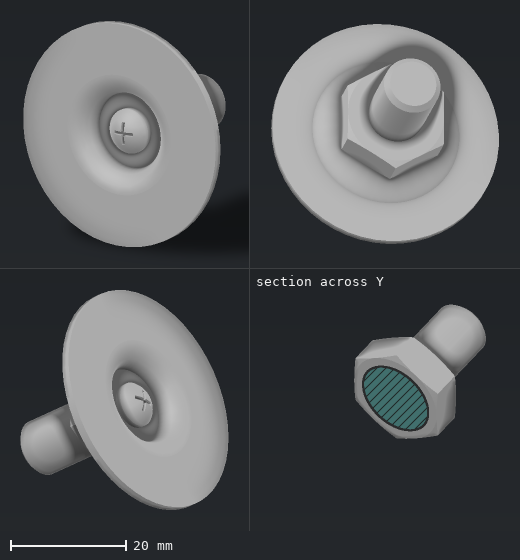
import cadquery as cq
import math

total_length = 27.0

disc_radius = 20
disc_thickness = 1.5
hub_base_radius = 13.0
hub_top_radius = 6.75
hub_top = 4.7

recess_depth = 4
recess_floor_radius = 6.75

nut_across_flats = 17.0
nut_thickness = 6.3
nut_across_corners = nut_across_flats / math.cos(math.pi / 6)
nut_end_radius = nut_across_flats / 2
nut_chamfer_height = 0.4

stud_radius = 5.0
stud_chamfer = 0.9

head_radius = 4
head_side_height = 1.0
dome_height = 2.15
cross_length = 4
cross_width = 0.65
cross_depth = 1.0


def turn(profile):
    """Revolve a closed (radius, Y) profile about the Y axis."""
    return profile.close().revolve(360, (0, 0, 0), (0, 1, 0))


def make_base():
    mouth_radius = recess_floor_radius + recess_depth
    arc_inset = recess_depth * math.sin(math.pi / 4)
    return turn(
        cq.Workplane("XY")
        .moveTo(0, recess_depth)
        .lineTo(recess_floor_radius, recess_depth)
        .threePointArc((mouth_radius - arc_inset, recess_depth - arc_inset), (mouth_radius, 0))
        .lineTo(disc_radius, 0)
        .lineTo(disc_radius, disc_thickness)
        .lineTo(hub_base_radius, disc_thickness)
        .lineTo(hub_top_radius, hub_top)
        .lineTo(0, hub_top)
    )


def make_nut():
    corner_radius = nut_across_corners / 2
    nut_top = hub_top + nut_thickness
    hexagon = (
        cq.Workplane("XZ", origin=(0, hub_top, 0))
        .transformed(rotate=(0, 0, 90))
        .polygon(6, nut_across_corners)
        .extrude(-nut_thickness)
    )
    envelope = turn(
        cq.Workplane("XY")
        .moveTo(0, hub_top)
        .lineTo(nut_end_radius, hub_top)
        .lineTo(corner_radius, hub_top + nut_chamfer_height)
        .lineTo(corner_radius, nut_top - nut_chamfer_height)
        .lineTo(nut_end_radius, nut_top)
        .lineTo(0, nut_top)
    )
    return hexagon.intersect(envelope)


def make_stud():
    return turn(
        cq.Workplane("XY")
        .moveTo(0, hub_top)
        .lineTo(stud_radius, hub_top)
        .lineTo(stud_radius, total_length - stud_chamfer)
        .lineTo(stud_radius - stud_chamfer, total_length)
        .lineTo(0, total_length)
    )


def make_head():
    dome_edge = recess_depth - head_side_height
    dome_tip = dome_edge - dome_height
    sphere_radius = (head_radius**2 + dome_height**2) / (2 * dome_height)
    half_angle = math.asin(head_radius / sphere_radius) / 2
    arc_middle = (
        sphere_radius * math.sin(half_angle),
        dome_tip + sphere_radius * (1 - math.cos(half_angle)),
    )
    head = turn(
        cq.Workplane("XY")
        .moveTo(0, recess_depth)
        .lineTo(head_radius, recess_depth)
        .lineTo(head_radius, dome_edge)
        .threePointArc(arc_middle, (0, dome_tip))
    )
    slot_reach = dome_tip + cross_depth
    for angle in (0, 90):
        slot = (
            cq.Workplane("XZ")
            .transformed(rotate=(0, 0, angle))
            .rect(cross_length, cross_width)
            .extrude(-slot_reach)
        )
        head = head.cut(slot)
    return head


result = make_base().union(make_nut()).union(make_stud()).union(make_head())